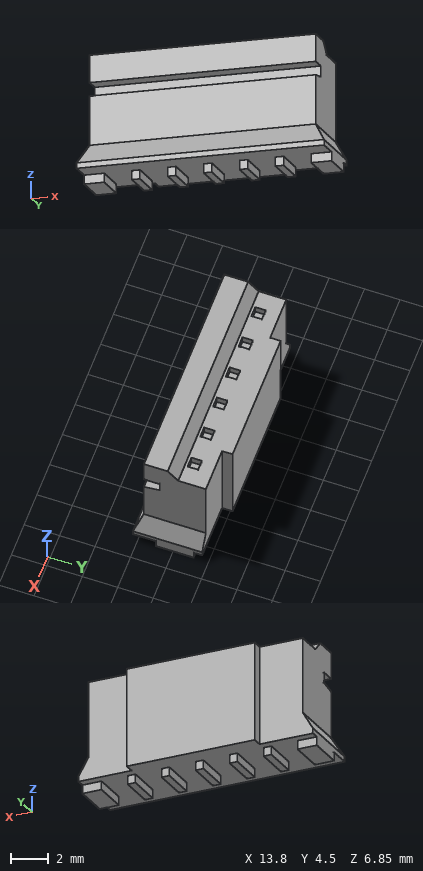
import cadquery as cq

length = 13.8
flange_overhang = 0.6
flange_front = 0.4
flange_edge = 0.3
flare_height = 1.04
foot_height = 0.5
total_height = 6.85
body_depth = 3.5
rear_rib_depth = 0.6
rear_rib_length = 7.53

step_drop = 0.62
step_run = 0.6
crest_depth = 1.35
groove_depth = 0.9
groove_top_drop = 1.53
groove_inner_height = 0.6
groove_outer_height = 0.75

pocket_count = 6
pitch = 2.0
pocket_size = 0.6
pocket_depth = 0.45
pocket_back = 0.8
foot_depth = 2.13
inner_foot_width = 0.45
end_foot_width = 1.13

body_length = length - 2 * flange_overhang
crest_z = total_height - foot_height
rear_top_z = crest_z - step_drop
groove_roof_z = crest_z - groove_top_drop
pocket_y = body_depth - pocket_back - pocket_size / 2
foot_y = groove_depth + foot_depth / 2


def box(x_size, y_size, z_size, x, y, z):
    """Box centred on x and y, with its underside at z."""
    return cq.Workplane("XY").box(x_size, y_size, z_size, centered=(True, True, False)).translate((x, y, z))


def extrude_profile(points, x_length):
    """Closed (y, z) outline extruded along X, centred on X = 0."""
    return cq.Workplane("YZ").polyline(points).close().extrude(x_length / 2, both=True)


def make_body():
    outline = [
        (0, 0),
        (0, groove_roof_z - groove_outer_height),
        (groove_depth, groove_roof_z - groove_inner_height),
        (groove_depth, groove_roof_z),
        (0, groove_roof_z),
        (0, crest_z),
        (crest_depth, crest_z),
        (crest_depth + step_run, rear_top_z),
        (body_depth, rear_top_z),
        (body_depth, 0),
    ]
    return extrude_profile(outline, body_length)


def make_flange():
    """Flange with an upright edge, flaring into the front and the ends of the body."""
    flange_depth = body_depth + flange_front
    edge_y = body_depth - flange_depth / 2
    edge = box(length, flange_depth, flange_edge, 0, edge_y, 0)
    flare = (
        cq.Workplane("XY")
        .workplane(offset=flange_edge)
        .center(0, edge_y)
        .rect(length, flange_depth)
        .workplane(offset=flare_height)
        .center(0, body_depth / 2 - edge_y)
        .rect(body_length, body_depth)
        .loft(ruled=True)
    )
    return edge.union(flare)


def make_rear_rib():
    return box(rear_rib_length, rear_rib_depth, rear_top_z, 0, body_depth + rear_rib_depth / 2, 0)


def make_feet():
    """A wide foot at each end and a narrow one midway between neighbouring pockets."""
    feet = cq.Workplane("XY")
    end_x = (length - end_foot_width) / 2
    for x in (-end_x, end_x):
        feet = feet.add(box(end_foot_width, foot_depth, foot_height, x, foot_y, -foot_height))
    inner_count = pocket_count - 1
    for i in range(inner_count):
        x = (i - (inner_count - 1) / 2) * pitch
        feet = feet.add(box(inner_foot_width, foot_depth, foot_height, x, foot_y, -foot_height))
    return feet.combine()


def make_pockets():
    return (
        cq.Workplane("XY")
        .workplane(offset=rear_top_z)
        .center(0, pocket_y)
        .rarray(pitch, 0.14, pocket_count, 1)
        .rect(pocket_size, pocket_size)
        .extrude(-pocket_depth)
    )


result = make_body().union(make_flange()).union(make_rear_rib()).union(make_feet()).cut(make_pockets())